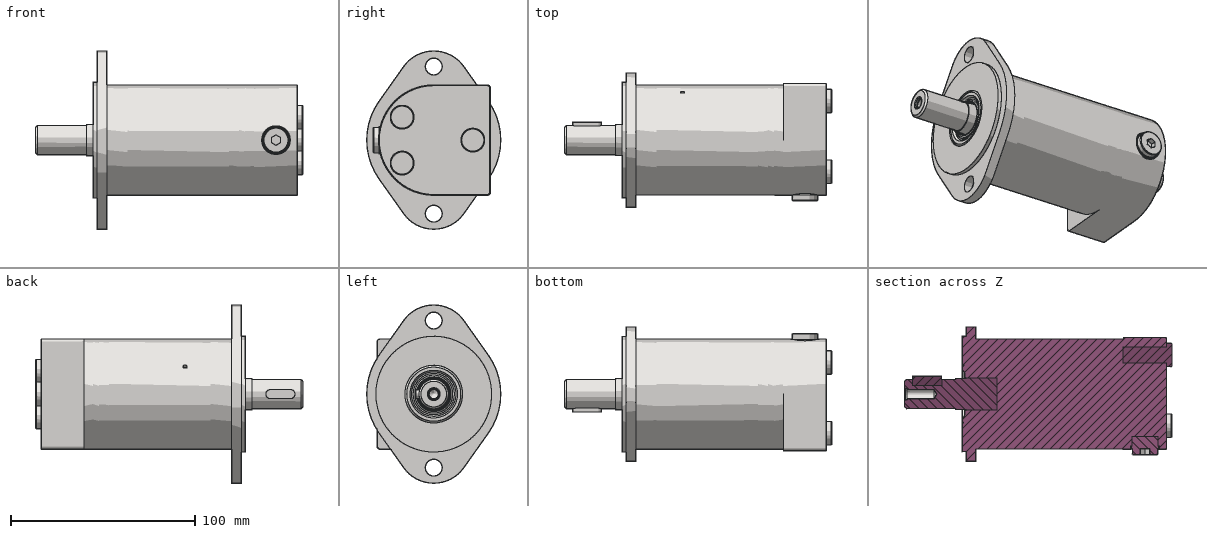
import cadquery as cq
import math


collar_start = 27.8
pilot_face = 31.2
flange_front = 33.4
flange_back = 38.8
section_joints = [50.0, 105.2, 110.6, 114.0]
cover_front = 118.9
cover_back = 142.4
overall_length = 145.3

barrel_radius = 60.0 / 2
pilot_radius = 62.9 / 2
cover_chamfer = 0.5
pad_reach = 30.8
pad_corner_radius = 1.7

flange_radius = 36.5
lobe_radius = 20.0
flange_height = 96.9
lobe_offset = flange_height / 2 - lobe_radius
mount_hole_diameter = 9.0
mount_hole_offset = 40.0

seal_radius = 15.7
seal_edge_chamfer = 1.0
seal_mouth_radius = 13.0
seal_floor_radius = 12.0
seal_floor_depth = 1.3
lip_groove_outer_radius = 11.2
lip_groove_inner_radius = 10.3
lip_groove_depth = 1.6
lip_crest_radius = 9.5
lip_mouth_radius = 18.0 / 2
lip_bore_radius = 17.3 / 2
lip_mouth_depth = 2.2

shaft_radius = 16.0 / 2
shaft_chamfer = 1.0
collar_radius = 17.0 / 2
shaft_end = section_joints[0]
centre_mouth_radius = 3.5
thread_radius = 6.0 / 2
thread_depth = 1.5
drill_radius = 5.0 / 2
drill_depth = 16.0
drill_point_angle = 118

key_width = 5.0
key_height = 5.0
key_length = 15.8
key_start = 4.4
key_top = 9.7

plug_x = 130.6
plug_radius = 14.0 / 2
plug_outer_face = 33.0
plug_inner_face = 23.2
plug_chamfer = 0.5
plug_socket_flats = 5.0
plug_socket_depth = 4.4
plug_collar_radius = 15.0 / 2
plug_collar_face = 29.8
spotface_radius = 15.5 / 2
spotface_floor = 28.2

screw_circle_radius = 21.2
screw_angles = [0, 144, 216]
screw_head_radius = 13.0 / 2
screw_head_chamfer = 0.5
screw_shank_radius = 8.5 / 2

side_hole_x = 64.1
side_hole_elevation = 30
side_hole_diameter = 2.0
side_hole_depth = 2.9


def disc(radius, start, end):
    """A cylinder on the X axis between two X positions."""
    return cq.Workplane("YZ", origin=(start, 0, 0)).circle(radius).extrude(end - start)


def plug_disc(radius, inner, outer):
    """A cylinder on the plug's axis between two distances from the shaft axis, towards -Y."""
    return cq.Workplane("XZ", origin=(plug_x, -inner, 0)).circle(radius).extrude(outer - inner)


def turned(profile):
    """A body of revolution about the X axis from (x, radius) points."""
    return cq.Workplane("XY").polyline(profile).close().revolve(360, (0, 0, 0), (1, 0, 0))


def make_flange():
    tangent_sine = (flange_radius - lobe_radius) / lobe_offset
    tangent_cosine = math.sqrt(1 - tangent_sine**2)
    disc_y = flange_radius * tangent_cosine
    disc_z = flange_radius * tangent_sine
    lobe_y = lobe_radius * tangent_cosine
    lobe_z = lobe_offset + lobe_radius * tangent_sine
    return (
        cq.Workplane("YZ", origin=(flange_front, 0, 0))
        .moveTo(disc_y, -disc_z)
        .threePointArc((flange_radius, 0), (disc_y, disc_z))
        .lineTo(lobe_y, lobe_z)
        .threePointArc((0, flange_height / 2), (-lobe_y, lobe_z))
        .lineTo(-disc_y, disc_z)
        .threePointArc((-flange_radius, 0), (-disc_y, -disc_z))
        .lineTo(-lobe_y, -lobe_z)
        .threePointArc((0, -flange_height / 2), (lobe_y, -lobe_z))
        .close()
        .extrude(flange_back - flange_front)
        .faces("<X")
        .workplane()
        .pushPoints([(0, mount_hole_offset), (0, -mount_hole_offset)])
        .hole(mount_hole_diameter)
    )


def make_cover():
    pad = (
        cq.Workplane("XY")
        .box(cover_back - cover_front, pad_reach, 2 * barrel_radius, centered=(False, False, True))
        .translate((cover_front, 0, 0))
        .edges("|X and >Y")
        .fillet(pad_corner_radius)
    )
    cover = disc(barrel_radius, cover_front, cover_back).union(pad)
    return cover.faces(">X").chamfer(cover_chamfer)


def make_seal_recess():
    edge_groove = turned([
        (pilot_face, seal_radius),
        (pilot_face + seal_edge_chamfer, seal_radius),
        (pilot_face, seal_radius - seal_edge_chamfer),
    ])
    lip_recess = turned([
        (pilot_face, 0),
        (pilot_face, seal_mouth_radius),
        (pilot_face + seal_floor_depth, seal_floor_radius),
        (pilot_face + seal_floor_depth, lip_groove_outer_radius),
        (pilot_face + lip_groove_depth, lip_groove_outer_radius),
        (pilot_face + lip_groove_depth, lip_groove_inner_radius),
        (pilot_face + seal_floor_depth, lip_crest_radius),
        (pilot_face + seal_floor_depth, lip_mouth_radius),
        (pilot_face + lip_mouth_depth, lip_bore_radius),
        (flange_back, lip_bore_radius),
        (flange_back, 0),
    ])
    return edge_groove.union(lip_recess)


def make_port():
    plug_hole = plug_disc(plug_radius, plug_inner_face, spotface_floor)
    spotface = plug_disc(spotface_radius, spotface_floor, plug_outer_face)
    return plug_hole.union(spotface)


def make_side_hole():
    return (
        cq.Workplane("XY", origin=(side_hole_x, 0, barrel_radius - side_hole_depth))
        .circle(side_hole_diameter / 2)
        .extrude(2 * side_hole_depth)
        .rotate((0, 0, 0), (1, 0, 0), side_hole_elevation - 90)
    )


def make_housing():
    housing = disc(pilot_radius, pilot_face, flange_front).union(make_flange())
    joints = [flange_back, *section_joints, cover_front]
    for start, end in zip(joints, joints[1:]):
        housing = housing.union(disc(barrel_radius, start, end), clean=False)
    housing = housing.union(make_cover(), clean=False)
    shaft_bore = disc(collar_radius, flange_back, shaft_end)
    for cutter in [make_seal_recess(), shaft_bore, make_port(), make_side_hole()]:
        housing = housing.cut(cutter, clean=False)
    for position in screw_positions():
        housing = housing.cut(make_screw_shank().translate(position), clean=False)
    return housing


def make_shaft():
    centre_chamfer = centre_mouth_radius - thread_radius
    drill_point = drill_radius / math.tan(math.radians(drill_point_angle / 2))
    shaft = turned([
        (drill_depth + drill_point, 0),
        (drill_depth, drill_radius),
        (thread_depth, drill_radius),
        (thread_depth, thread_radius),
        (centre_chamfer, thread_radius),
        (0, centre_mouth_radius),
        (0, shaft_radius - shaft_chamfer),
        (shaft_chamfer, shaft_radius),
        (collar_start, shaft_radius),
        (collar_start, collar_radius),
        (shaft_end, collar_radius),
        (shaft_end, 0),
    ])
    return shaft.cut(make_key())


def make_key():
    return (
        cq.Workplane("XZ", origin=(key_start + key_length / 2, key_top, 0))
        .slot2D(key_length, key_width)
        .extrude(key_height)
    )


def make_plug():
    pin = (
        plug_disc(plug_radius, plug_inner_face, plug_outer_face)
        .faces("<Y")
        .chamfer(plug_chamfer)
        .faces("<Y")
        .workplane()
        .polygon(6, plug_socket_flats, circumscribed=True)
        .cutBlind(-plug_socket_depth)
    )
    return pin.union(plug_disc(plug_collar_radius, spotface_floor, plug_collar_face))


def screw_positions():
    angles = [math.radians(angle) for angle in screw_angles]
    return [
        (0, screw_circle_radius * math.cos(angle), screw_circle_radius * math.sin(angle))
        for angle in angles
    ]


def make_screw_shank():
    return disc(screw_shank_radius, cover_front, cover_back)


def make_screw():
    head = disc(screw_head_radius, cover_back, overall_length).faces(">X").chamfer(screw_head_chamfer)
    return head.union(make_screw_shank())


housing = make_housing()
shaft = make_shaft()
key = make_key()
plug = make_plug()
screws = [make_screw().translate(position) for position in screw_positions()]

result = cq.Compound.makeCompound([
    housing.solids().val(),
    shaft.solids().val(),
    key.solids().val(),
    plug.solids().val(),
    *[screw.solids().val() for screw in screws],
])